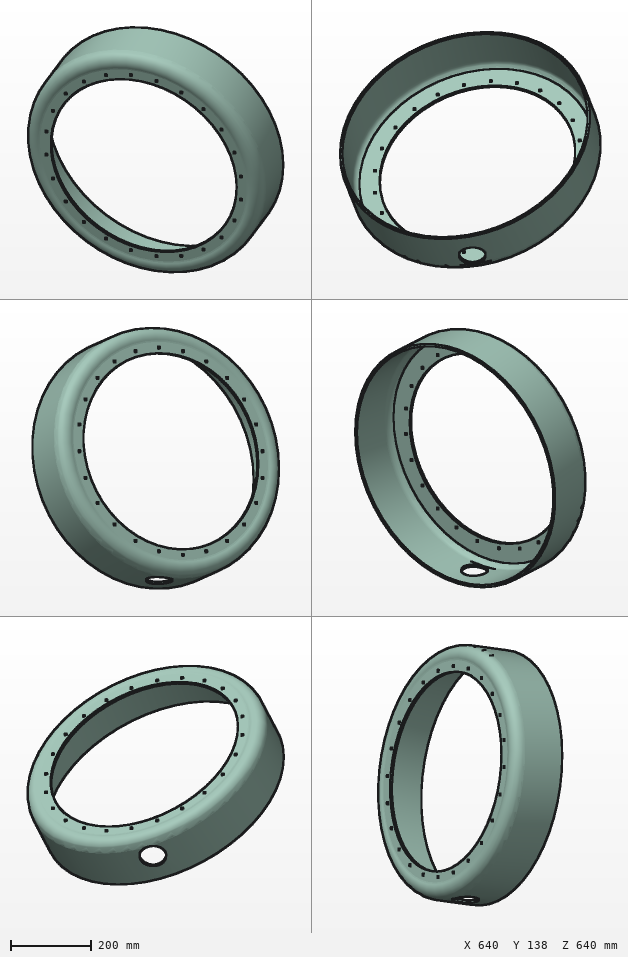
import cadquery as cq
import math

outer_radius = 320.0
depth = 138.0
front = -depth / 2
back = depth / 2

wall_thickness = 6.5
bore_radius = outer_radius - wall_thickness
roll_radius = 28.0
roll_end_radius = 282.0

flange_outer_radius = 278.0
flange_inner_radius = 250.0
flange_thickness = 6.5
flange_recess = 0.5

hole_count = 24
hole_circle_radius = 264.0
hole_diameter = 5.0

port_diameter = 66.5
port_y = -7.5


def ring_body():
    """Revolve the barrel wall, rolled rim and flange about the Y axis."""
    roll_x = outer_radius - roll_radius
    roll_y = front + roll_radius
    roll_end_y = roll_y - math.sqrt(roll_radius**2 - (roll_x - roll_end_radius) ** 2)
    flange_front = roll_end_y + flange_recess
    flange_back = flange_front + flange_thickness

    inner_roll_radius = roll_radius - wall_thickness
    inner_end_x = roll_x + math.sqrt(inner_roll_radius**2 - (roll_y - flange_back) ** 2)
    inner_mid_angle = math.atan2(flange_back - roll_y, inner_end_x - roll_x) / 2
    inner_mid = (
        roll_x + inner_roll_radius * math.cos(inner_mid_angle),
        roll_y + inner_roll_radius * math.sin(inner_mid_angle),
    )

    section = (
        cq.Workplane("XY")
        .moveTo(bore_radius, back)
        .lineTo(outer_radius, back)
        .lineTo(outer_radius, roll_y)
        .threePointArc((roll_x, front), (roll_end_radius, roll_end_y))
        .lineTo(flange_outer_radius, flange_front)
        .lineTo(flange_inner_radius, flange_front)
        .lineTo(flange_inner_radius, flange_back)
        .lineTo(inner_end_x, flange_back)
        .threePointArc(inner_mid, (bore_radius, roll_y))
        .close()
    )
    return section.revolve(360, (0, 0, 0), (0, 1, 0))


def bolt_holes():
    half_pitch = 180 / hole_count
    return (
        cq.Workplane("XZ", origin=(0, back, 0))
        .polarArray(hole_circle_radius, half_pitch, 360, hole_count)
        .circle(hole_diameter / 2)
        .extrude(depth)
    )


def bottom_port():
    return (
        cq.Workplane("XY", origin=(0, port_y, -outer_radius))
        .circle(port_diameter / 2)
        .extrude(outer_radius - flange_inner_radius)
    )


result = ring_body().cut(bolt_holes()).cut(bottom_port())